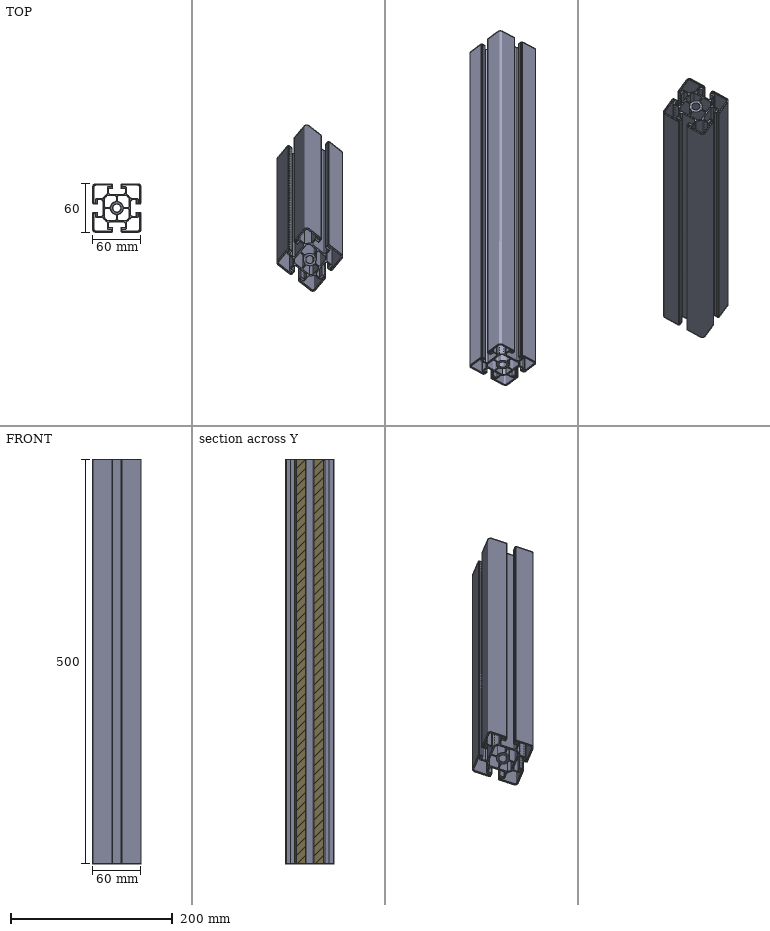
import cadquery as cq

length = 500.0
width = 60.0
half = width / 2
corner_radius = 4.0

slot_opening = 10.5
mouth_chamfer = 1.0
slot_width = 21.0
lip_depth = 6.0
slot_depth = 13.0
slot_corner_chamfer = 2.0

outer_wall = 1.75
lip_wall = 2.5
slot_wall = 1.25
floor_wall = 1.75
spoke_wall = 1.25
diagonal_wall = 1.5

cavity_corner_radius = 2.5
cavity_chamfer = 6.0
pocket_end = 6.5
pocket_chamfer = 1.0

tube_radius = 8.0
bore_radius = 5.0
spoke_fillet = 1.5

opening_half = slot_opening / 2
slot_half = slot_width / 2
slot_floor = half - slot_depth
lip_bottom = half - lip_depth
cavity_inner = slot_half + slot_wall
cavity_outer = half - outer_wall
pocket_inner = lip_bottom + lip_wall
chamber_half = slot_floor - floor_wall

diagonal_outer_sum = 2 * cavity_inner + cavity_chamfer
diagonal_inner_sum = diagonal_outer_sum - diagonal_wall * 2 ** 0.5
chamber_chamfer = 2 * chamber_half - diagonal_inner_sum


def prism(points):
    """Full-length prism with the given outline."""
    return cq.Workplane("XY").polyline(points).close().extrude(length)


def cylinder(radius):
    return cq.Workplane("XY").circle(radius).extrude(length)


def around(shape):
    """Union of four copies of a shape, a quarter turn apart."""
    copies = shape
    for quarter in range(1, 4):
        copies = copies.union(shape.rotate((0, 0, 0), (0, 0, 1), 90 * quarter))
    return copies


def t_slot():
    """Undercut slot in the +Y side, with a chamfered mouth."""
    mouth_half = opening_half + mouth_chamfer
    mouth_bottom = half - mouth_chamfer
    return (
        cq.Workplane("XY")
        .moveTo(-mouth_half, half)
        .lineTo(-opening_half, mouth_bottom)
        .lineTo(-opening_half, lip_bottom)
        .lineTo(-slot_half, lip_bottom)
        .lineTo(-slot_half, slot_floor + slot_corner_chamfer)
        .lineTo(-slot_half + slot_corner_chamfer, slot_floor)
        .lineTo(slot_half - slot_corner_chamfer, slot_floor)
        .lineTo(slot_half, slot_floor + slot_corner_chamfer)
        .lineTo(slot_half, lip_bottom)
        .lineTo(opening_half, lip_bottom)
        .lineTo(opening_half, mouth_bottom)
        .lineTo(mouth_half, half)
        .close()
        .extrude(length)
    )


def corner_cavity():
    """Hollow behind the (+X, +Y) corner, reaching into both neighbouring lips."""
    upper_half = [
        (cavity_inner, cavity_inner + cavity_chamfer),
        (cavity_inner, pocket_inner - pocket_chamfer),
        (cavity_inner - pocket_chamfer, pocket_inner),
        (pocket_end, pocket_inner),
        (pocket_end, cavity_outer),
    ]
    lower_half = [(y, x) for x, y in reversed(upper_half)]
    outline = upper_half + [(cavity_outer, cavity_outer)] + lower_half
    return prism(outline).edges("|Z and >(1, 1, 0)").fillet(cavity_corner_radius)


def inner_chambers():
    """Four hollows between the tube, its spokes and the slot floors."""
    octagon = (
        cq.Workplane("XY")
        .rect(2 * chamber_half, 2 * chamber_half)
        .extrude(length)
        .edges("|Z")
        .chamfer(chamber_chamfer)
    )
    spokes = around(cq.Workplane("XY").rect(width, spoke_wall).extrude(length))
    hollows = octagon.cut(cylinder(tube_radius)).cut(spokes)
    spoke_edges = hollows.edges("|Z").filter(
        lambda edge: min(abs(edge.Center().x), abs(edge.Center().y)) < spoke_wall
    )
    return spoke_edges.fillet(spoke_fillet)


bar = cq.Workplane("XY").rect(width, width).extrude(length).edges("|Z").fillet(corner_radius)
slots = around(t_slot())
cavities = around(corner_cavity())

result = bar.cut(slots).cut(cavities).cut(inner_chambers()).cut(cylinder(bore_radius))